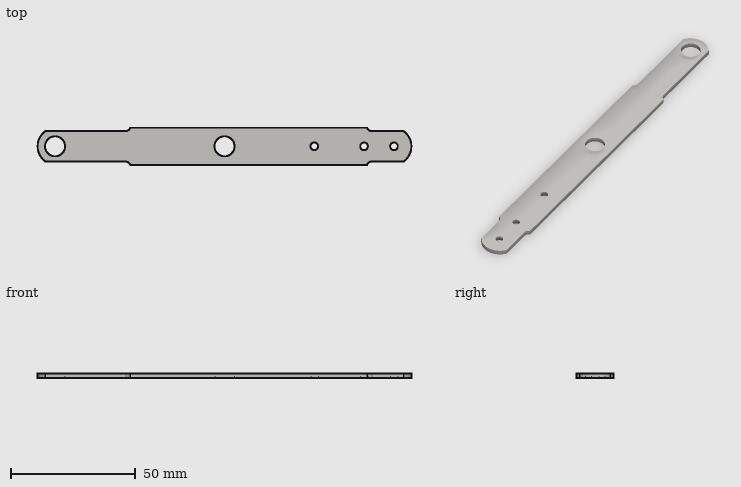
import cadquery as cq
import math

length = 150.0
width = 15.0
thickness = 2.0
neck_width = 12.3
end_radius = width / 2

left_shoulder_x = -37.8
right_shoulder_x = 57.2
shoulder_radius = 2.0

large_hole_diameter = 8.0
small_hole_diameter = 3.0
end_hole_inset = 7.0
large_hole_positions = [-length / 2 + end_hole_inset, 0.0]
small_hole_positions = [36.0, 56.0, length / 2 - end_hole_inset]

half_length = length / 2
half_width = width / 2
half_neck = neck_width / 2

end_arc_center_x = half_length - end_radius
end_corner_x = end_arc_center_x + math.sqrt(end_radius**2 - half_neck**2)

shoulder_step = half_width - half_neck
shoulder_angle = math.acos(1 - shoulder_step / shoulder_radius)
shoulder_run = shoulder_radius * math.sin(shoulder_angle)


def shoulder_middle(shoulder_x, outward, side):
    """Middle point of a shoulder arc; outward is the X direction of the neck, side the Y direction."""
    half_angle = shoulder_angle / 2
    x = shoulder_x + outward * (shoulder_run - shoulder_radius * math.sin(half_angle))
    y = half_neck + shoulder_radius * (1 - math.cos(half_angle))
    return (x, side * y)


def make_bar():
    left_neck_x = left_shoulder_x - shoulder_run
    right_neck_x = right_shoulder_x + shoulder_run
    return (
        cq.Workplane("XY")
        .workplane(offset=-thickness / 2)
        .moveTo(-end_corner_x, -half_neck)
        .lineTo(left_neck_x, -half_neck)
        .threePointArc(shoulder_middle(left_shoulder_x, -1, -1), (left_shoulder_x, -half_width))
        .lineTo(right_shoulder_x, -half_width)
        .threePointArc(shoulder_middle(right_shoulder_x, 1, -1), (right_neck_x, -half_neck))
        .lineTo(end_corner_x, -half_neck)
        .threePointArc((half_length, 0), (end_corner_x, half_neck))
        .lineTo(right_neck_x, half_neck)
        .threePointArc(shoulder_middle(right_shoulder_x, 1, 1), (right_shoulder_x, half_width))
        .lineTo(left_shoulder_x, half_width)
        .threePointArc(shoulder_middle(left_shoulder_x, -1, 1), (left_neck_x, half_neck))
        .lineTo(-end_corner_x, half_neck)
        .threePointArc((-half_length, 0), (-end_corner_x, -half_neck))
        .close()
        .extrude(thickness)
    )


def make_round_hole(x, diameter):
    return cq.Workplane("XY").center(x, 0).circle(diameter / 2).extrude(thickness, both=True)


result = make_bar()
for hole_x in large_hole_positions:
    result = result.cut(make_round_hole(hole_x, large_hole_diameter))
for hole_x in small_hole_positions:
    result = result.cut(make_round_hole(hole_x, small_hole_diameter))